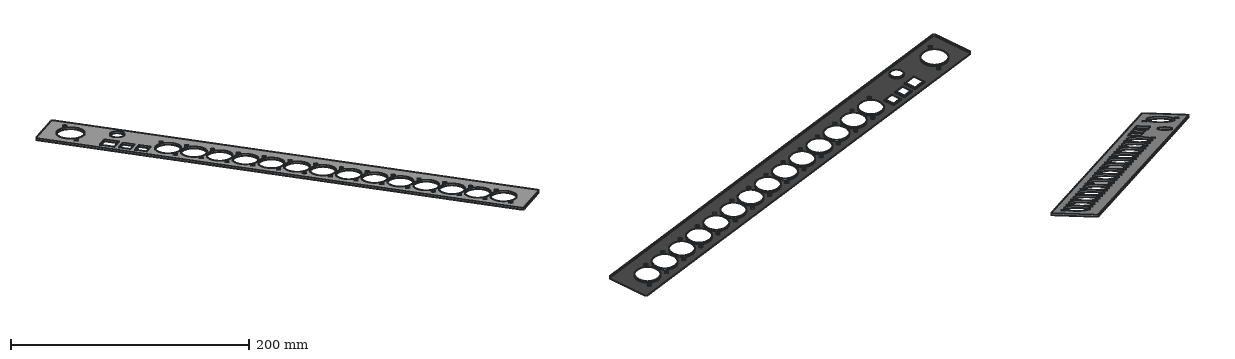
import cadquery as cq

LENGTH = 435.0
WIDTH = 40.0
THICKNESS = 2.0
CORNER_RADIUS = 1.52

INLET_X = 24.0
INLET_Y = WIDTH / 2
INLET_DIAMETER = 24.0
INLET_SCREW_DIAMETER = 3.5
INLET_SCREW_DX = 9.5
INLET_SCREW_DY = 12.0

ROW_COUNT = 14
ROW_FIRST_X = 112.0
ROW_LAST_X = 411.0
ROW_PITCH = (ROW_LAST_X - ROW_FIRST_X) / (ROW_COUNT - 1)
ROW_Y = 18.0
ROW_DIAMETER = 22.0
ROW_SCREW_DIAMETER = 3.2
ROW_SCREW_OFFSET = 10.0

ROUND_X = 61.8
ROUND_Y = 30.5
ROUND_DIAMETER = 12.5

WINDOW_BOTTOM = 5.2
WIDE_WINDOW_LENGTH = 13.0
WIDE_WINDOW_HEIGHT = 11.7
SQUARE_WINDOW_SIDE = 10.5
SQUARE_WINDOW_CENTERS = (77.5, 92.0)


def round_cutter(x, y, diameter):
    """Cylinder through the panel thickness."""
    return cq.Workplane("XY").center(x, y).circle(diameter / 2).extrude(THICKNESS)


def window_cutter(center_x, length, height):
    """Rectangular block rising from the common lower window edge."""
    center_y = WINDOW_BOTTOM + height / 2
    return cq.Workplane("XY").center(center_x, center_y).rect(length, height).extrude(THICKNESS)


def cut_connector(panel, x, y, diameter, screw_diameter, screw_dx, screw_dy):
    """Cut a connector bore and its upper left and lower right screw holes."""
    panel = panel.cut(round_cutter(x, y, diameter))
    panel = panel.cut(round_cutter(x - screw_dx, y + screw_dy, screw_diameter))
    return panel.cut(round_cutter(x + screw_dx, y - screw_dy, screw_diameter))


panel = cq.Workplane("XY").box(LENGTH, WIDTH, THICKNESS, centered=False)
panel = panel.edges("|Z").fillet(CORNER_RADIUS)

panel = cut_connector(
    panel, INLET_X, INLET_Y, INLET_DIAMETER,
    INLET_SCREW_DIAMETER, INLET_SCREW_DX, INLET_SCREW_DY,
)

for index in range(ROW_COUNT):
    panel = cut_connector(
        panel, ROW_FIRST_X + index * ROW_PITCH, ROW_Y, ROW_DIAMETER,
        ROW_SCREW_DIAMETER, ROW_SCREW_OFFSET, ROW_SCREW_OFFSET,
    )

panel = panel.cut(round_cutter(ROUND_X, ROUND_Y, ROUND_DIAMETER))
panel = panel.cut(window_cutter(ROUND_X, WIDE_WINDOW_LENGTH, WIDE_WINDOW_HEIGHT))
for center_x in SQUARE_WINDOW_CENTERS:
    panel = panel.cut(window_cutter(center_x, SQUARE_WINDOW_SIDE, SQUARE_WINDOW_SIDE))

result = panel